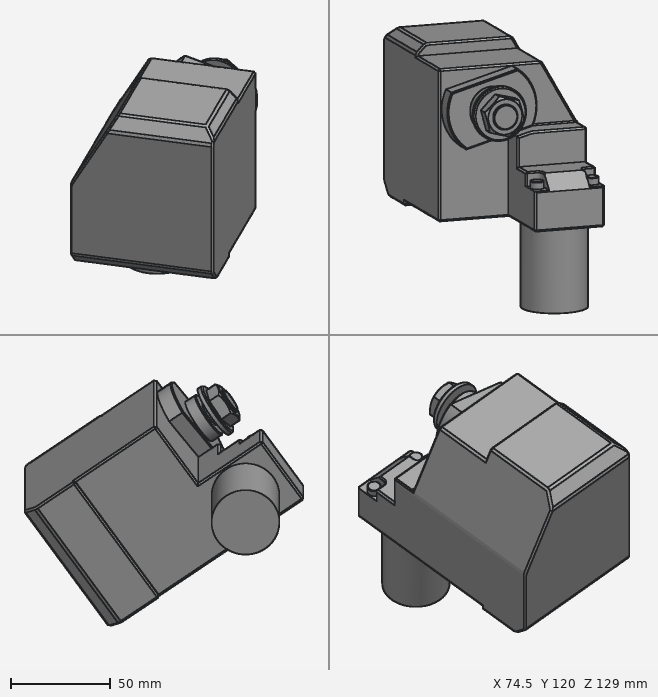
import cadquery as cq
import math

WIDTH = 74.5
DEPTH = 120.0
HEIGHT = 129.0
EDGE = 1.0

MAIN_BOTTOM = 42.2
MAIN_DEPTH = 81.0
FRONT_CHAMFER = 7.0
SIDE_CHAMFER = 5.0
ROOF_STEP_Y = 48.1
REAR_ROOF = 122.8
FOOT_DEPTH = 31.2
UNDERSIDE = 44.2
SLOPE_START = 89.3
SLOPE_ANGLE = 60.0

REAR_WIDTH = 37.4
LEDGE_TOP = 90.2
LEDGE_END = 94.2
LEDGE_FOOT = 0.8
DECK_TOP = 72.5
DECK_CHAMFER = 8.0

POCKET_WIDTH = 7.9
POCKET_LENGTH = 13.0
POCKET_FLOOR = 65.1
POCKET_RADIUS = 2.5
POCKET_RIM = 0.8
POCKET_FLARE = 45.0
PIN_DIAMETER = 7.0
PIN_TOP = 68.9
PIN_CHAMFER = 0.4
PIN_INSET_X = 4.0
PIN_INSET_Y = 8.0

SHANK_DIAMETER = 34.0
SHANK_X = 18.6
SHANK_Y = 96.9

AXIS_X = 49.0
AXIS_Z = 102.0
TILT = 15.0
FLANGE_RADIUS = 24.0
FLANGE_HALF_HEIGHT = 15.5
FLANGE_END = 89.7
FLANGE_CHAMFER = 0.6
FLANGE_CLEARANCE = 1.0

COLLAR_DIAMETER = 24.0
COLLAR_END = 96.1
STUD_DIAMETER = 13.0
STUD_END = 109.3
TURNED_CHAMFER = 0.5

NUT_START = 98.5
WASHER_DIAMETER = 28.0
WASHER_END = 101.5
WASHER_CHAMFER = 0.8
HEX_SIDES = 6
HEX_ACROSS_FLATS = 19.0
HEX_FACE_DIAMETER = 18.0
HEX_END = 108.2
HEX_CHAMFER_ANGLE = 30.0


def along_y(start):
    """Workplane centred on the spindle axis at Y = start, extruding toward +Y."""
    plane = cq.Plane(origin=(AXIS_X, start, AXIS_Z), xDir=(-1, 0, 0), normal=(0, 1, 0))
    return cq.Workplane(plane)


def tilted(body):
    """Turn a body about the spindle axis so that its right side drops by TILT."""
    return body.rotate((AXIS_X, 0, AXIS_Z), (AXIS_X, 1, AXIS_Z), TILT)


def leaning_prism():
    """Prism with the outline seen along Y: leaning left side and chamfered top right."""
    lean = (HEIGHT - SLOPE_START) / math.tan(math.radians(SLOPE_ANGLE))
    return (
        cq.Workplane("XZ")
        .moveTo(0, MAIN_BOTTOM)
        .lineTo(WIDTH, MAIN_BOTTOM)
        .lineTo(WIDTH, HEIGHT - SIDE_CHAMFER)
        .lineTo(WIDTH - SIDE_CHAMFER, HEIGHT)
        .lineTo(lean, HEIGHT)
        .lineTo(0, SLOPE_START)
        .close()
        .extrude(-DEPTH)
    )


def outer_edges(block, sharp_lines):
    """Edges of a block to chamfer: all but those centred on one of the sharp (Y, Z) lines."""

    def is_sharp(edge):
        middle = edge.Center()
        return any(math.hypot(middle.y - y, middle.z - z) < EDGE / 2 for y, z in sharp_lines)

    return block.newObject([edge for edge in block.edges().vals() if not is_sharp(edge)])


def main_block():
    block = (
        cq.Workplane("YZ")
        .moveTo(FRONT_CHAMFER, MAIN_BOTTOM)
        .lineTo(FOOT_DEPTH, MAIN_BOTTOM)
        .lineTo(FOOT_DEPTH, UNDERSIDE)
        .lineTo(MAIN_DEPTH, UNDERSIDE)
        .lineTo(MAIN_DEPTH, REAR_ROOF)
        .lineTo(ROOF_STEP_Y, REAR_ROOF)
        .lineTo(ROOF_STEP_Y, HEIGHT)
        .lineTo(FRONT_CHAMFER, HEIGHT)
        .lineTo(0, HEIGHT - FRONT_CHAMFER)
        .lineTo(0, MAIN_BOTTOM + FRONT_CHAMFER)
        .close()
        .extrude(WIDTH)
        .intersect(leaning_prism())
    )
    inner_corners = ((ROOF_STEP_Y, REAR_ROOF), (FOOT_DEPTH, UNDERSIDE))
    return outer_edges(block, inner_corners).chamfer(EDGE)


def rear_block():
    """Stepped block behind the main block; its ledge slopes down under the flange."""
    root = (ROOF_STEP_Y + MAIN_DEPTH) / 2
    block = (
        cq.Workplane("YZ")
        .moveTo(root, UNDERSIDE)
        .lineTo(DEPTH, UNDERSIDE)
        .lineTo(DEPTH, DECK_TOP)
        .lineTo(LEDGE_END, DECK_TOP)
        .lineTo(LEDGE_END, LEDGE_TOP)
        .lineTo(root, LEDGE_TOP)
        .close()
        .extrude(REAR_WIDTH)
    )
    clearance_half = FLANGE_HALF_HEIGHT + FLANGE_CLEARANCE
    clearance = along_y(root).rect(2 * WIDTH, 2 * clearance_half).extrude(DEPTH - root)
    block = block.cut(tilted(clearance))
    tilt = math.radians(TILT)
    slope_end_z = AXIS_Z - clearance_half / math.cos(tilt) + (AXIS_X - REAR_WIDTH) * math.tan(tilt)
    slope_end = ((root + LEDGE_END) / 2, slope_end_z)
    block = outer_edges(block, (slope_end, (LEDGE_END, DECK_TOP))).chamfer(EDGE)
    slope_edge = cq.NearestToPointSelector((0, DEPTH / 2, SLOPE_START))
    softened_prism = leaning_prism().edges(slope_edge).chamfer(EDGE)
    return block.intersect(softened_prism)


def ledge_foot():
    """Small sloping web where the ledge meets the back of the main block."""
    return (
        cq.Workplane("YZ")
        .moveTo(MAIN_DEPTH, LEDGE_TOP)
        .lineTo(MAIN_DEPTH + LEDGE_FOOT, LEDGE_TOP)
        .lineTo(MAIN_DEPTH, LEDGE_TOP + LEDGE_FOOT)
        .close()
        .extrude(AXIS_X - FLANGE_RADIUS)
        .intersect(leaning_prism())
    )


def housing_block():
    return main_block().union(rear_block()).union(ledge_foot())


def pocketed(body):
    """Cut both corner pockets, open to the sides and the rear, and bevel their rims."""
    for side_x in (0, REAR_WIDTH):
        pocket = (
            cq.Workplane("XY", origin=(side_x, DEPTH, POCKET_FLOOR))
            .rect(2 * POCKET_WIDTH, 2 * POCKET_LENGTH)
            .extrude(DECK_TOP - POCKET_FLOOR)
            .edges("|Z")
            .fillet(POCKET_RADIUS)
        )
        body = body.cut(pocket).cut(pocket_rim(side_x)).cut(pocket_mouth(side_x))
    return body


def pocket_rim(side_x):
    """Flared volume above a pocket that bevels the pocket's top edge."""
    return (
        cq.Workplane("XY", origin=(side_x, DEPTH, DECK_TOP - POCKET_RIM))
        .sketch()
        .rect(2 * POCKET_WIDTH, 2 * POCKET_LENGTH)
        .vertices()
        .fillet(POCKET_RADIUS)
        .finalize()
        .extrude(POCKET_RIM, taper=-POCKET_FLARE)
    )


def pocket_mouth(side_x):
    """Upright wedge that bevels the vertical edge where a pocket opens to the side."""
    return (
        cq.Workplane("XY", origin=(side_x, DEPTH - POCKET_LENGTH, POCKET_FLOOR))
        .moveTo(-POCKET_RIM, 0)
        .lineTo(0, -POCKET_RIM)
        .lineTo(POCKET_RIM, 0)
        .close()
        .extrude(DECK_TOP - POCKET_FLOOR)
    )


def pin(x):
    return (
        cq.Workplane("XY", origin=(x, DEPTH - PIN_INSET_Y, POCKET_FLOOR))
        .circle(PIN_DIAMETER / 2)
        .extrude(PIN_TOP - POCKET_FLOOR)
        .faces(">Z")
        .chamfer(PIN_CHAMFER)
    )


def flange():
    """Disc with two parallel flats."""
    thickness = FLANGE_END - MAIN_DEPTH
    disc = along_y(MAIN_DEPTH).circle(FLANGE_RADIUS).extrude(thickness)
    flats = along_y(MAIN_DEPTH).rect(2 * WIDTH, 2 * FLANGE_HALF_HEIGHT).extrude(thickness)
    return tilted(disc.intersect(flats)).faces(">Y").chamfer(FLANGE_CHAMFER)


def shank():
    axis = cq.Workplane("XY", origin=(SHANK_X, SHANK_Y, 0))
    return axis.circle(SHANK_DIAMETER / 2).extrude(UNDERSIDE)


def deck_chamfer_cutter():
    return (
        cq.Workplane("YZ")
        .moveTo(DEPTH, DECK_TOP - DECK_CHAMFER)
        .lineTo(DEPTH, DECK_TOP)
        .lineTo(DEPTH - DECK_CHAMFER, DECK_TOP)
        .close()
        .extrude(REAR_WIDTH)
    )


def make_housing():
    body = pocketed(housing_block()).cut(deck_chamfer_cutter())
    for pin_x in (PIN_INSET_X, REAR_WIDTH - PIN_INSET_X):
        body = body.union(pin(pin_x))
    return body.union(flange()).union(shank())


def make_spindle():
    """Collar seated on the flange, with the stud that carries the nut."""
    collar = (
        along_y(FLANGE_END)
        .circle(COLLAR_DIAMETER / 2)
        .extrude(COLLAR_END - FLANGE_END)
        .faces(">Y")
        .chamfer(TURNED_CHAMFER)
    )
    stud = (
        along_y(FLANGE_END)
        .circle(STUD_DIAMETER / 2)
        .extrude(STUD_END - FLANGE_END)
        .faces(">Y")
        .chamfer(TURNED_CHAMFER)
    )
    return collar.union(stud)


def make_nut():
    """Hexagon with chamfered corners on a round washer flange, bored for the stud."""
    washer = (
        along_y(NUT_START)
        .circle(WASHER_DIAMETER / 2)
        .extrude(WASHER_END - NUT_START)
        .faces(">Y")
        .chamfer(WASHER_CHAMFER)
    )
    half_side_angle = 180 / HEX_SIDES
    across_corners = HEX_ACROSS_FLATS / math.cos(math.radians(half_side_angle))
    hexagon = (
        along_y(WASHER_END)
        .transformed(rotate=(0, 0, half_side_angle))
        .polygon(HEX_SIDES, across_corners)
        .extrude(HEX_END - WASHER_END)
    )
    corner_cut = (across_corners - HEX_FACE_DIAMETER) / 2
    corner_drop = corner_cut * math.tan(math.radians(HEX_CHAMFER_ANGLE))
    envelope = (
        along_y(WASHER_END)
        .circle(across_corners / 2)
        .extrude(HEX_END - WASHER_END)
        .faces(">Y")
        .chamfer(corner_drop, corner_cut)
    )
    bore = along_y(NUT_START).circle(STUD_DIAMETER / 2).extrude(HEX_END - NUT_START)
    return washer.union(tilted(hexagon).intersect(envelope)).cut(bore)


housing = make_housing()
spindle = make_spindle()
nut = make_nut()

result = cq.Compound.makeCompound([housing.val(), spindle.val(), nut.val()])